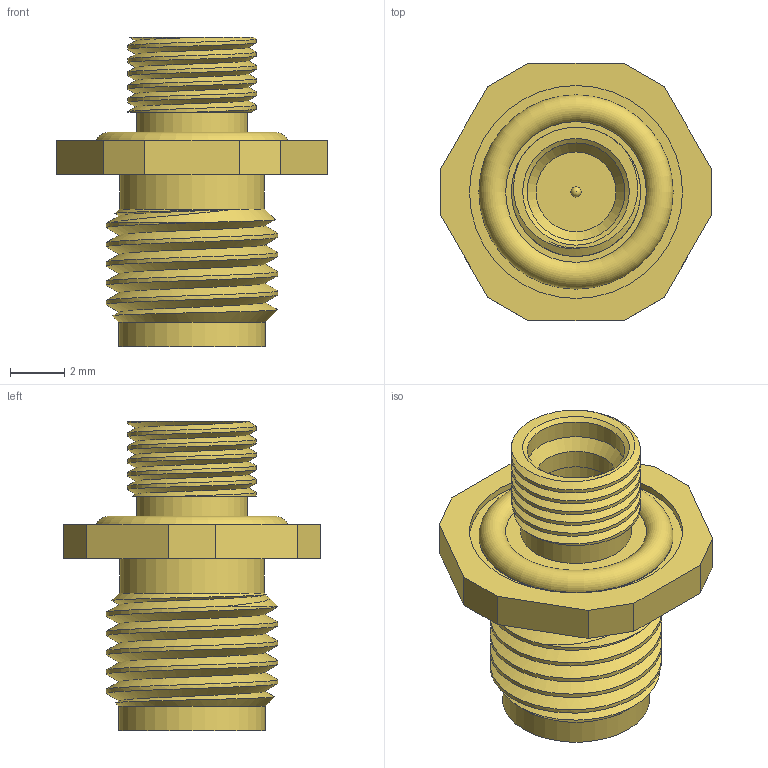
import cadquery as cq
import math

total_height = 11.43
lower_thread_bottom = 0.9
lower_thread_top = 5.08
flange_bottom = 6.35
flange_top = 7.62
upper_thread_bottom = 8.67

pilot_diameter = 5.42
lower_neck_diameter = 5.33
lower_thread_major = 6.35
lower_thread_minor = 5.38
lower_thread_pitch = 0.711
lower_crest_height = 4.12

upper_neck_diameter = 4.10
upper_thread_major = 4.77
upper_thread_minor = 4.16
upper_thread_pitch = 0.489
upper_crest_height = 11.30

thread_half_angle = math.radians(30)
groove_overcut = 0.05
groove_runout = 0.25
spare_stock = 2.0

hexagon_across_flats = 9.53
trim_across_flats = 9.99

recess_diameter = 7.87
ring_center_radius = 3.07
ring_section_radius = 0.52
ring_top = 7.92
ring_center_height = ring_top - ring_section_radius
recess_floor = 7.37

rim_diameter = 3.94
rim_chamfer_depth = 0.13
mouth_diameter = 3.61
inner_diameter = 2.95
undercut_diameter = 3.17
cone_start_depth = 0.80
cone_end_depth = 1.23
undercut_depth = 1.93
bore_depth = 2.52

pin_diameter = 0.38
pin_length = 0.5


def cylinder(diameter, bottom, top):
    return cq.Workplane("XY").workplane(offset=bottom).circle(diameter / 2).extrude(top - bottom)


def helical_groove(major, minor, pitch, crest_height, bottom, top):
    """V-shaped cutter that passes a little beyond both ends of a thread."""
    root_radius = minor / 2
    depth = major / 2 - root_radius + groove_overcut
    half_width = depth * math.tan(thread_half_angle)

    root_height = crest_height + pitch / 2
    turns_below = math.ceil((root_height + half_width - bottom) / pitch)
    start = root_height - turns_below * pitch
    length = top + half_width + groove_runout * pitch - start

    path = cq.Wire.makeHelix(pitch, length, root_radius, center=cq.Vector(0, 0, start))
    profile = cq.Workplane("XZ").polyline([
        (root_radius, start),
        (root_radius + depth, start + half_width),
        (root_radius + depth, start - half_width),
    ]).close()
    return profile.sweep(cq.Workplane(obj=path), isFrenet=True)


def threaded_rod(major, minor, pitch, crest_height, bottom, top):
    """Threaded length with spare stock beyond both ends, to be trimmed to shape."""
    rod = cylinder(major, bottom - spare_stock, top + spare_stock)
    return rod.cut(helical_groove(major, minor, pitch, crest_height, bottom, top))


def lower_thread():
    """Lower thread, with 45-degree chamfers from crest to root at both ends."""
    rod = threaded_rod(lower_thread_major, lower_thread_minor, lower_thread_pitch,
                       lower_crest_height, lower_thread_bottom, lower_thread_top)
    chamfer = (lower_thread_major - lower_thread_minor) / 2
    envelope = cylinder(lower_thread_major + 2 * groove_overcut, lower_thread_bottom, lower_thread_top)
    return rod.intersect(envelope.faces("<Z or >Z").chamfer(chamfer + groove_overcut))


def upper_thread():
    """Upper thread, cut off square at both ends."""
    rod = threaded_rod(upper_thread_major, upper_thread_minor, upper_thread_pitch,
                       upper_crest_height, upper_thread_bottom, total_height)
    envelope = cylinder(upper_thread_major + 2 * groove_overcut, upper_thread_bottom, total_height)
    return rod.intersect(envelope)


def hexagonal_prism(across_flats):
    """Hexagonal prism at flange height with corners on the X axis."""
    corner_diameter = across_flats / math.cos(math.pi / 6)
    prism = cq.Workplane("XY").workplane(offset=flange_bottom).polygon(6, corner_diameter)
    return prism.extrude(flange_top - flange_bottom)


def flange():
    trim = hexagonal_prism(trim_across_flats).rotate((0, 0, 0), (0, 0, 1), 30)
    plate = hexagonal_prism(hexagon_across_flats).intersect(trim)
    recess = cylinder(recess_diameter, recess_floor, flange_top)
    island = cylinder(2 * ring_center_radius, recess_floor, flange_top)
    return plate.cut(recess.cut(island))


def sealing_ring():
    section = cq.Workplane("XZ").center(ring_center_radius, ring_center_height).circle(ring_section_radius)
    return section.revolve(360, (-ring_center_radius, 0, 0), (-ring_center_radius, 1, 0))


def upper_bore():
    """Stepped bore: rim chamfer, mouth, cone, narrow throat and undercut floor."""
    steps = [
        (rim_diameter, 0),
        (mouth_diameter, rim_chamfer_depth),
        (mouth_diameter, cone_start_depth),
        (inner_diameter, cone_end_depth),
        (inner_diameter, undercut_depth),
        (undercut_diameter, undercut_depth),
        (undercut_diameter, bore_depth),
    ]
    outline = [(diameter / 2, total_height - depth) for diameter, depth in steps]
    outline = [(0, total_height)] + outline + [(0, total_height - bore_depth)]
    return cq.Workplane("XZ").polyline(outline).close().revolve(360, (0, 0, 0), (0, 1, 0))


def contact_pin():
    """Short pin with a domed tip, standing on the bore floor."""
    floor = total_height - bore_depth
    dome_base = floor + pin_length - pin_diameter / 2
    dome = cq.Workplane("XY").sphere(pin_diameter / 2).translate((0, 0, dome_base))
    return cylinder(pin_diameter, floor, dome_base).union(dome)


body = cylinder(pilot_diameter, 0, lower_thread_bottom)
body = body.union(lower_thread())
body = body.union(cylinder(lower_neck_diameter, lower_thread_top, flange_bottom))
body = body.union(flange())
body = body.union(sealing_ring())
body = body.union(cylinder(upper_neck_diameter, flange_bottom, upper_thread_bottom))
body = body.union(upper_thread())
result = body.cut(upper_bore()).union(contact_pin())